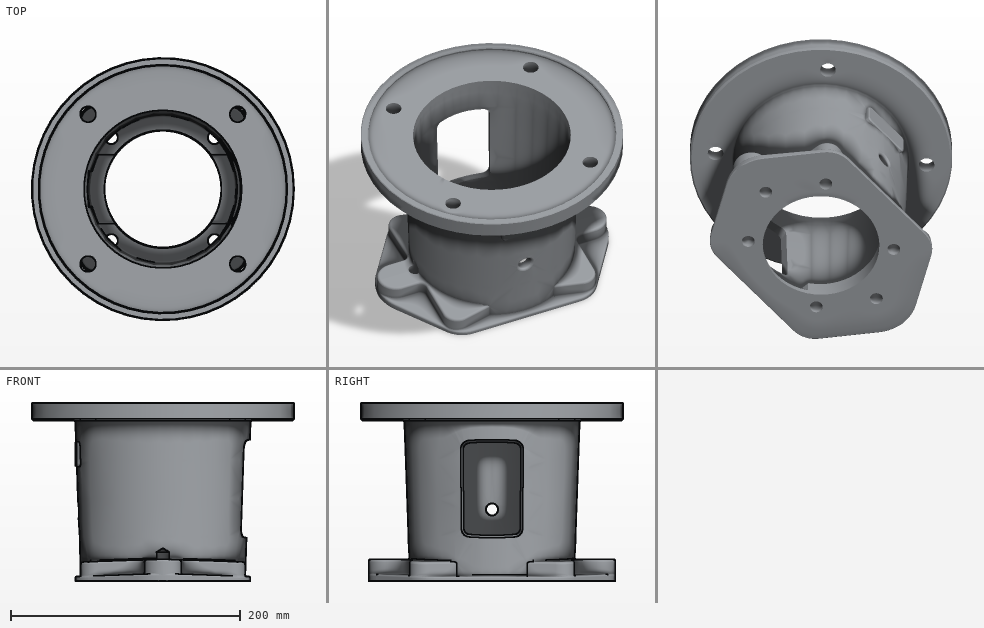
import cadquery as cq
import math

height = 155.64

flange_radius = 228.6 / 2
flange_bottom = 140.1
flange_chamfer = 1.5
rim_chamfer = 0.6
pilot_radius = 107.6
pilot_depth = 2.4
pilot_chamfer = 0.8
flange_hole_diameter = 13.6
flange_hole_circle_radius = 92.1

body_top_radius = 76.5
body_draft = 2.0
cavity_top_radius = 68.7
cavity_draft = 2.0
cavity_fillet = 1.3
floor_step_y = 30.0
flange_root_fillet = 1.5

parting_draft = 2.0
bore_radius = 101.6 / 2
plate_height = 7.0
plate_half_width = 76.2
plate_half_length = 107.5
plate_corner_center = (51.2, 50.6)
plate_corner_radius = plate_half_width - plate_corner_center[0]
plate_end_radius = 38.0
plate_edge_fillet = 1.6
plate_bottom_chamfer = 0.6
pad_height = 19.4
pad_edge_fillet = 2.0
pad_root_fillet = 1.2
pad_inner_y = 30.7
root_fillet_start_y = 36.0
pad_corner_center = 58.6
pad_corner_radius = 13.0
pad_side_angle = 13.0
boss_radius = 16.0
boss_neck_radius = 6.0

bolt_hole_diameter = 11.2
four_bolt_offset = 127.0 / 2 * math.sqrt(0.5)
two_bolt_offset = 146.0 / 2
two_bolt_hole_depth = 25.6
drill_point_height = 3.4

window_half_width = 28.9
window_bottom = 37.1
window_top = 123.8
window_corner_radius = 9.0
window_draft = 15.0

side_hole_z = 62.7
side_hole_outer_diameter = 12.2
side_hole_inner_diameter = 10.4
side_hole_edge_fillet = 1.9
side_hole_lead = 3.0

nameplate_width = 46.0
nameplate_height = 21.7
nameplate_center_z = 110.8
nameplate_face_x = -76.1
nameplate_corner_radius = 3.5
nameplate_edge_chamfer = 1.0

pilot_floor = height - pilot_depth
overrun = 5.0


def drafted_radius(top_radius, top_z, draft, z):
    """Radius at height z of a cone that narrows downwards from top_z."""
    return top_radius - (top_z - z) * math.tan(math.radians(draft))


def above(z):
    """Selects the edges whose centres lie above height z."""
    return cq.selectors.BoxSelector((-height, -height, z), (height, height, height))


def make_flange():
    flange = (
        cq.Workplane("XY")
        .workplane(offset=flange_bottom)
        .circle(flange_radius)
        .extrude(height - flange_bottom)
    )
    flange = flange.faces("<Z").chamfer(flange_chamfer).faces(">Z").chamfer(rim_chamfer)
    pilot = cq.Workplane("XY").workplane(offset=pilot_floor).circle(pilot_radius).extrude(pilot_depth)
    flange = flange.cut(pilot)
    return flange.edges(cq.selectors.RadiusNthSelector(0)).edges(">Z").chamfer(pilot_chamfer)


def make_body():
    bottom_radius = drafted_radius(body_top_radius, flange_bottom, body_draft, 0)
    root_z = flange_bottom - flange_root_fillet
    root_radius = drafted_radius(body_top_radius, flange_bottom, body_draft, root_z)
    return (
        cq.Workplane("XZ")
        .lineTo(bottom_radius, 0)
        .lineTo(root_radius, root_z)
        .radiusArc((root_radius + flange_root_fillet, flange_bottom), flange_root_fillet)
        .lineTo(0, flange_bottom)
        .close()
        .revolve(360, (0, 0, 0), (0, 1, 0))
    )


def roof(ridge_height):
    """Block whose top falls away from a ridge along Y at x = 0."""
    reach = plate_half_length + overrun
    eave_height = ridge_height - reach * math.tan(math.radians(parting_draft))
    return (
        cq.Workplane("XZ")
        .moveTo(-reach, 0)
        .lineTo(reach, 0)
        .lineTo(reach, eave_height)
        .lineTo(0, ridge_height)
        .lineTo(-reach, eave_height)
        .close()
        .extrude(reach, both=True)
    )


def make_plate():
    """Six-sided plate: two straight sides, four rounded corners and two rounded ends."""
    corner_x, corner_y = plate_corner_center
    end_center_y = plate_half_length - plate_end_radius
    span = math.hypot(corner_x, end_center_y - corner_y)
    slant = math.atan2(end_center_y - corner_y, corner_x)
    normal = math.pi - slant - math.acos((plate_corner_radius - plate_end_radius) / span)
    nx, ny = math.cos(normal), math.sin(normal)
    mx, my = math.cos(normal / 2), math.sin(normal / 2)
    r = plate_corner_radius
    ex, ey = plate_end_radius * nx, end_center_y + plate_end_radius * ny
    cx, cy = corner_x + r * nx, corner_y + r * ny
    kx, ky = corner_x + r * mx, corner_y + r * my
    outline = (
        cq.Workplane("XY")
        .moveTo(plate_half_width, -corner_y)
        .lineTo(plate_half_width, corner_y)
        .threePointArc((kx, ky), (cx, cy))
        .lineTo(ex, ey)
        .threePointArc((0, plate_half_length), (-ex, ey))
        .lineTo(-cx, cy)
        .threePointArc((-kx, ky), (-plate_half_width, corner_y))
        .lineTo(-plate_half_width, -corner_y)
        .threePointArc((-kx, -ky), (-cx, -cy))
        .lineTo(-ex, -ey)
        .threePointArc((0, -plate_half_length), (ex, -ey))
        .lineTo(cx, -cy)
        .threePointArc((kx, -ky), (plate_half_width, -corner_y))
        .close()
    )
    plate = outline.extrude(plate_height).faces("<Z").chamfer(plate_bottom_chamfer)
    plate = plate.intersect(roof(plate_height))
    return plate.edges(above(plate_height / 2)).edges("not(|Y and >Z)").fillet(plate_edge_fillet)


def make_pad():
    """Bolt pad on the +Y side: two rounded corners and a central boss."""
    side = math.radians(pad_side_angle)
    c, r = pad_corner_center, pad_corner_radius
    tangent = (c + r * math.cos(side), c - r * math.sin(side))
    mid = math.radians(90 - pad_side_angle) / 2
    corner_mid = (c + r * math.cos(mid), c + r * math.sin(mid))
    shoulder_y = c + r
    inner_x = tangent[0] - (tangent[1] - pad_inner_y) * math.tan(side)
    boss_center_y = plate_half_length - boss_radius
    neck_x = boss_radius + boss_neck_radius
    neck_y = shoulder_y + boss_neck_radius
    outline = (
        cq.Workplane("XY")
        .moveTo(-inner_x, pad_inner_y)
        .lineTo(inner_x, pad_inner_y)
        .lineTo(*tangent)
        .threePointArc(corner_mid, (c, shoulder_y))
        .lineTo(neck_x, shoulder_y)
        .radiusArc((boss_radius, neck_y), boss_neck_radius)
        .lineTo(boss_radius, boss_center_y)
        .threePointArc((0, plate_half_length), (-boss_radius, boss_center_y))
        .lineTo(-boss_radius, neck_y)
        .radiusArc((-neck_x, shoulder_y), boss_neck_radius)
        .lineTo(-c, shoulder_y)
        .threePointArc((-corner_mid[0], corner_mid[1]), (-tangent[0], tangent[1]))
        .close()
    )
    pad = outline.extrude(pad_height).intersect(roof(pad_height))
    return pad.edges(above(pad_height * 0.75)).fillet(pad_edge_fillet)


def cut_flange_holes(part):
    cutter = (
        cq.Workplane("XY")
        .workplane(offset=flange_bottom - overrun)
        .polarArray(flange_hole_circle_radius, 45, 360, 4)
        .circle(flange_hole_diameter / 2)
        .extrude(height)
    )
    return part.cut(cutter)


def cut_bolt_holes(part):
    """Four through holes near the pad corners and two blind holes under the bosses."""
    through = (
        cq.Workplane("XY")
        .rect(2 * four_bolt_offset, 2 * four_bolt_offset, forConstruction=True)
        .vertices()
        .circle(bolt_hole_diameter / 2)
        .extrude(pad_height + overrun)
    )
    hole_radius = bolt_hole_diameter / 2
    blind = (
        cq.Workplane("XZ")
        .lineTo(hole_radius, 0)
        .lineTo(hole_radius, two_bolt_hole_depth)
        .lineTo(0, two_bolt_hole_depth + drill_point_height)
        .close()
        .revolve(360, (0, 0, 0), (0, 1, 0))
    )
    part = part.cut(through)
    for y in (-two_bolt_offset, two_bolt_offset):
        part = part.cut(blind.translate((0, y, 0)))
    return part


def cut_window(part):
    """Rounded window through the +X wall, narrowing inwards."""
    window_height = window_top - window_bottom
    cutter = (
        cq.Workplane("ZY")
        .workplane(offset=-body_top_radius)
        .center(window_bottom + window_height / 2, 0)
        .sketch()
        .rect(window_height, 2 * window_half_width)
        .vertices()
        .fillet(window_corner_radius)
        .finalize()
        .extrude(body_top_radius / 3, taper=window_draft)
    )
    return part.cut(cutter)


def cut_side_hole(part):
    """Hole through the -X wall: rounded outer edge, short straight lead, then a taper."""
    outer_x = -drafted_radius(body_top_radius, flange_bottom, body_draft, side_hole_z)
    inner_x = -drafted_radius(cavity_top_radius, pilot_floor, cavity_draft, side_hole_z)
    outer = side_hole_outer_diameter / 2
    inner = side_hole_inner_diameter / 2
    cutter = (
        cq.Workplane("XY")
        .moveTo(outer_x - overrun, 0)
        .lineTo(outer_x - overrun, outer)
        .lineTo(outer_x + side_hole_lead, outer)
        .lineTo(inner_x, inner)
        .lineTo(inner_x + overrun, inner)
        .lineTo(inner_x + overrun, 0)
        .close()
        .revolve(360, (0, 0, 0), (1, 0, 0))
        .translate((0, 0, side_hole_z))
    )
    part = part.cut(cutter)
    rim = cq.selectors.NearestToPointSelector((outer_x, 0, side_hole_z))
    return part.edges(rim).fillet(side_hole_edge_fillet)


def make_nameplate():
    return (
        cq.Workplane("YZ")
        .workplane(offset=nameplate_face_x)
        .center(0, nameplate_center_z)
        .rect(nameplate_width, nameplate_height)
        .extrude(-nameplate_face_x)
        .edges("|X")
        .fillet(nameplate_corner_radius)
        .faces("<X")
        .chamfer(nameplate_edge_chamfer)
    )


def outside_step(step_y, ridge_height):
    """Roofed block on each side, beyond step_y from the centre line."""
    gap = cq.Workplane("XY").box(4 * flange_radius, 2 * step_y, 2 * height)
    return roof(ridge_height).cut(gap)


def make_root_collar():
    """Small fillet where the body wall rises from the pad tops."""
    block = outside_step(root_fillet_start_y, pad_height)
    body = make_body()
    collar = body.union(block)
    wall_radius = drafted_radius(body_top_radius, flange_bottom, body_draft, pad_height)
    eave = pad_height - wall_radius * math.tan(math.radians(parting_draft))
    band = cq.selectors.BoxSelector((-wall_radius, -wall_radius, eave), (wall_radius, wall_radius, height / 4))
    roots = collar.edges(band).edges("%ELLIPSE")
    collar = roots.fillet(pad_root_fillet)
    reach = cq.Workplane("XY").circle(wall_radius + pad_root_fillet).extrude(height / 4)
    return collar.intersect(reach)


def make_base():
    """Body, base plate and both pads, blended where they meet the plate."""
    pad = make_pad()
    base = make_body().union(make_plate()).union(pad).union(pad.mirror("XZ"))
    shoulder_y = pad_corner_center + pad_corner_radius
    shoulder_mid_x = (pad_corner_center + boss_radius + boss_neck_radius) / 2
    for side in (-1, 1):
        for end in (-1, 1):
            point = (end * shoulder_mid_x, side * shoulder_y, plate_height)
            base = base.edges(cq.selectors.NearestToPointSelector(point)).fillet(pad_root_fillet)
    wall_reach = body_top_radius - pad_edge_fillet
    wall_root_half_y = pad_inner_y - 2 * pad_root_fillet
    wall_root = cq.selectors.BoxSelector(
        (-wall_reach, -wall_root_half_y, 0), (wall_reach, wall_root_half_y, plate_height)
    )
    return base.edges(wall_root).edges("%ELLIPSE").fillet(pad_root_fillet)


def make_cavity():
    """Tapered inside space, standing on a floor that is raised over the bolt pads."""
    bottom_radius = drafted_radius(cavity_top_radius, pilot_floor, cavity_draft, 0)
    cone = (
        cq.Workplane("XZ")
        .lineTo(bottom_radius, 0)
        .lineTo(cavity_top_radius, pilot_floor)
        .lineTo(0, pilot_floor)
        .close()
        .revolve(360, (0, 0, 0), (0, 1, 0))
    )
    cavity = cone.cut(roof(plate_height)).cut(outside_step(floor_step_y, pad_height))
    floor_edges = cq.selectors.BoxSelector((-height, -height, 0), (height, height, pad_height))
    return cavity.edges(floor_edges).edges("not |Y").fillet(cavity_fillet)


def make_bore():
    """Bore through the floor, opening upwards with the cavity draft."""
    depth = pad_height + overrun
    top_radius = bore_radius + depth * math.tan(math.radians(cavity_draft))
    return (
        cq.Workplane("XZ")
        .lineTo(bore_radius, 0)
        .lineTo(top_radius, depth)
        .lineTo(0, depth)
        .close()
        .revolve(360, (0, 0, 0), (0, 1, 0))
    )


result = cut_side_hole(make_base()).union(make_root_collar())
result = result.union(make_nameplate()).union(make_flange())
result = result.cut(make_cavity()).cut(make_bore())
result = cut_window(result)
result = cut_flange_holes(result)
result = cut_bolt_holes(result)